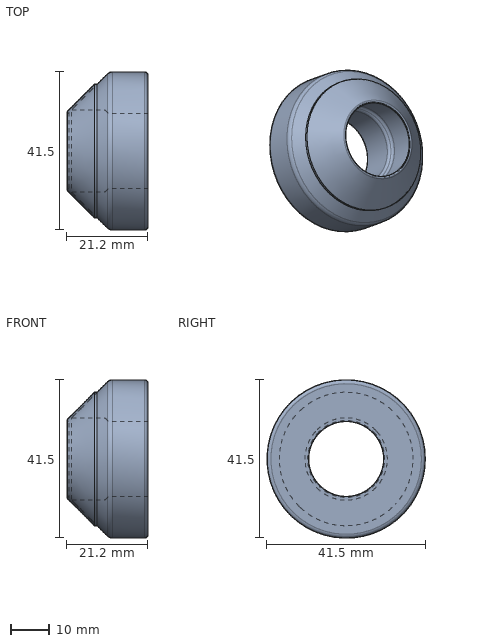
import cadquery as cq
import math

length = 21.2
outer_radius = 20.75
SIN_45 = math.sqrt(0.5)

front_bore_radius = 10.8
back_bore_radius = 9.8
step_start = 9.38
step_end = 11.3

shoulder_start = 11.1
shoulder_round = 2.0
back_round = 1.05

tip_round = 0.4
opening_radius = back_bore_radius
cover_rim_radius = 17.5

seat_offset = outer_radius - shoulder_start
cover_offset = opening_radius + tip_round / SIN_45


def revolve_about_x(profile):
    """Turn a closed (axial position, radius) profile about the X axis."""
    return profile.close().revolve(360, (0, 0, 0), (1, 0, 0))


def make_main_ring():
    """Ring with a conical seat, rounded outer edges and a stepped bore."""
    shoulder_end = shoulder_start + shoulder_round * math.tan(math.pi / 8)
    shoulder_centre_radius = outer_radius - shoulder_round
    cone_end = shoulder_end - shoulder_round * SIN_45
    cone_end_radius = shoulder_centre_radius + shoulder_round * SIN_45
    shoulder_mid = (
        shoulder_end - shoulder_round * math.sin(math.pi / 8),
        shoulder_centre_radius + shoulder_round * math.cos(math.pi / 8),
    )

    back_round_mid = (
        length - back_round * (1 - SIN_45),
        outer_radius - back_round * (1 - SIN_45),
    )
    step_mid = ((step_start + step_end) / 2, (front_bore_radius + back_bore_radius) / 2)

    profile = (
        cq.Workplane("XY")
        .moveTo(front_bore_radius - seat_offset, front_bore_radius)
        .lineTo(cone_end, cone_end_radius)
        .threePointArc(shoulder_mid, (shoulder_end, outer_radius))
        .lineTo(length - back_round, outer_radius)
        .threePointArc(back_round_mid, (length, outer_radius - back_round))
        .lineTo(length, back_bore_radius)
        .lineTo(step_end, back_bore_radius)
        .tangentArcPoint(step_mid, relative=False)
        .tangentArcPoint((step_start, front_bore_radius), relative=False)
    )
    return revolve_about_x(profile)


def make_cover():
    """Thin conical shell with a cylindrical rim and a rounded lip at the tip."""
    tip_centre_radius = opening_radius + tip_round
    tip_cone_start = (tip_round * (1 - SIN_45), tip_centre_radius + tip_round * SIN_45)

    profile = (
        cq.Workplane("XY")
        .moveTo(tip_round, opening_radius)
        .threePointArc((0, tip_centre_radius), tip_cone_start)
        .lineTo(cover_rim_radius - cover_offset, cover_rim_radius)
        .lineTo(cover_rim_radius - seat_offset, cover_rim_radius)
        .lineTo(tip_round, seat_offset + tip_round)
    )
    return revolve_about_x(profile)


main_ring = make_main_ring()
cover = make_cover()
result = cq.Compound.makeCompound([main_ring.val(), cover.val()])